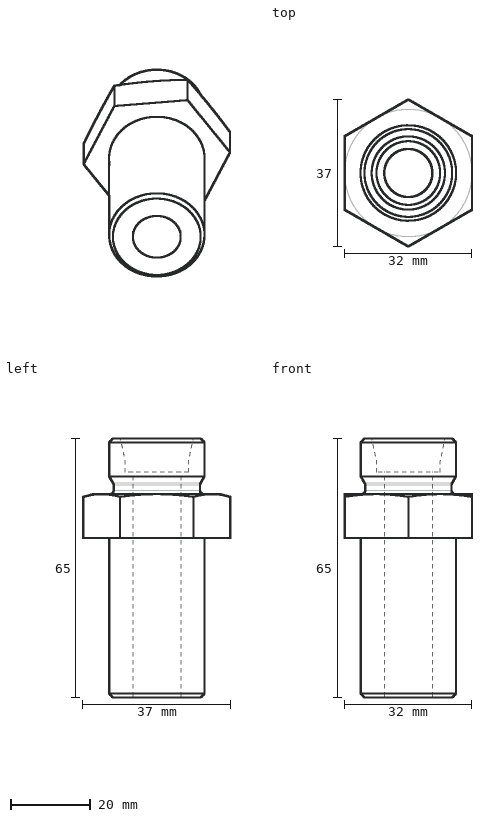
import cadquery as cq
import math

total_height = 65.0
body_diameter = 24.0
end_chamfer = 1.0

hex_across_flats = 32.0
hex_bottom = 40.0
hex_top = 51.0
hex_chamfer_angle = 15.0

neck_diameter = 21.7
neck_fillet = 1.0
relief_cone_angle = 30.0
relief_cone_top = 55.5

bore_diameter = 12.0
socket_diameter = 16.0
socket_depth = 8.45
cone_mouth_diameter = 18.4
cone_half_angle = 12.0

body_radius = body_diameter / 2
neck_radius = neck_diameter / 2
bore_radius = bore_diameter / 2
socket_radius = socket_diameter / 2
cone_mouth_radius = cone_mouth_diameter / 2
hex_flat_radius = hex_across_flats / 2
hex_corner_radius = hex_flat_radius / math.cos(math.radians(30))
cone_slope = math.radians(relief_cone_angle)
relief_cone_bottom = relief_cone_top - (body_radius - neck_radius) / math.tan(cone_slope)
cone_depth = (cone_mouth_radius - socket_radius) / math.tan(math.radians(cone_half_angle))


def make_turned_body():
    """Stub, relief neck and threaded end revolved about Z."""
    blend_start = relief_cone_bottom - neck_fillet * math.tan(cone_slope / 2)

    def blend_point(angle):
        return (
            neck_radius + neck_fillet * (1 - math.cos(angle)),
            blend_start + neck_fillet * math.sin(angle),
        )

    blend_middle = blend_point(cone_slope / 2)
    blend_end = blend_point(cone_slope)
    profile = (
        cq.Workplane("XZ")
        .moveTo(0, 0)
        .lineTo(body_radius - end_chamfer, 0)
        .lineTo(body_radius, end_chamfer)
        .lineTo(body_radius, hex_top - neck_fillet)
        .lineTo(neck_radius + neck_fillet, hex_top - neck_fillet)
        .lineTo(neck_radius + neck_fillet, hex_top)
        .radiusArc((neck_radius, hex_top + neck_fillet), neck_fillet)
        .lineTo(neck_radius, blend_start)
        .threePointArc(blend_middle, blend_end)
        .lineTo(body_radius, relief_cone_top)
        .lineTo(body_radius, total_height - end_chamfer)
        .lineTo(body_radius - end_chamfer, total_height)
        .lineTo(0, total_height)
        .close()
    )
    return profile.revolve(360, (0, 0, 0), (0, 1, 0))


def make_hexagon():
    """Hexagon with flats facing X and its upper corners turned to a cone."""
    prism = (
        cq.Workplane("XY", origin=(0, 0, hex_bottom))
        .polygon(6, 2 * hex_corner_radius)
        .extrude(hex_top - hex_bottom)
        .rotate((0, 0, 0), (0, 0, 1), 30)
    )
    corner_drop = (hex_corner_radius - hex_flat_radius) * math.tan(math.radians(hex_chamfer_angle))
    envelope = (
        cq.Workplane("XZ")
        .moveTo(0, hex_bottom)
        .lineTo(hex_corner_radius, hex_bottom)
        .lineTo(hex_corner_radius, hex_top - corner_drop)
        .lineTo(hex_flat_radius, hex_top)
        .lineTo(0, hex_top)
        .close()
        .revolve(360, (0, 0, 0), (0, 1, 0))
    )
    return prism.intersect(envelope)


def make_bore():
    """Through bore with a tube socket and a tapered mouth at the top."""
    return (
        cq.Workplane("XZ")
        .lineTo(bore_radius, 0)
        .lineTo(bore_radius, total_height - socket_depth)
        .lineTo(socket_radius, total_height - socket_depth)
        .lineTo(socket_radius, total_height - cone_depth)
        .lineTo(cone_mouth_radius, total_height)
        .lineTo(0, total_height)
        .close()
        .revolve(360, (0, 0, 0), (0, 1, 0))
    )


result = make_turned_body().union(make_hexagon()).cut(make_bore())